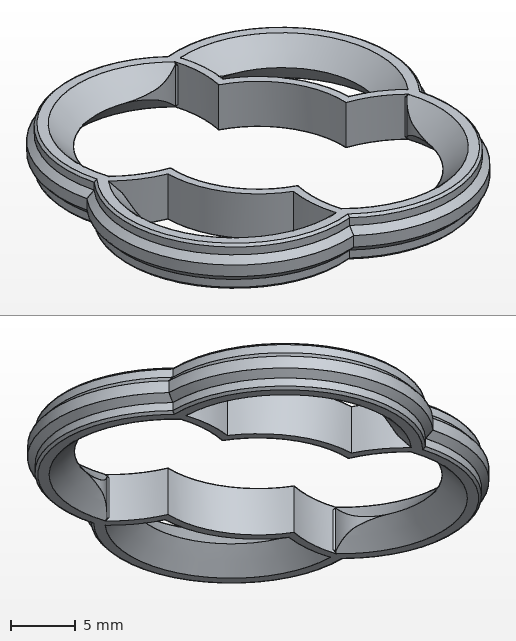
import cadquery as cq
import math

span = 36.37
height = 4.0
mid_height = height / 2

lobe_offset = 6.73
bead_radius = span / 2 - lobe_offset
bead_depth = 0.6
wall_radius = bead_radius - bead_depth
bead_half_flat = 0.5
bead_half_base = 1.1
edge_chamfer = 0.22

bore_rim_radius = 9.8
waist_radius = 7.82

flare_half_width = 2.2
flare_depth = 0.6

web_thickness = 0.75
web_middle_radius = 9.3
web_side_radius = 10.62
web_side_offset = 12.22

LOBE_CENTRES = [(lobe_offset, 0), (0, lobe_offset), (-lobe_offset, 0), (0, -lobe_offset)]


def disc(radius, x=0, y=0):
    """Full-height cylinder standing at (x, y)."""
    return cq.Workplane("XY").center(x, y).circle(radius).extrude(height)


def union_all(solids):
    """Fuse a list of solids into one."""
    fused = solids[0]
    for solid in solids[1:]:
        fused = fused.union(solid)
    return fused


def at_lobes(solid):
    """Fuse copies of a centred solid placed at all four lobes."""
    return union_all([solid.translate((x, y, 0)) for x, y in LOBE_CENTRES])


def beaded_lobe():
    """Turned disc with a raised bead round its middle and chamfered rims."""
    rim_radius = wall_radius - edge_chamfer
    profile = [
        (0, 0),
        (rim_radius, 0),
        (wall_radius, edge_chamfer),
        (wall_radius, mid_height - bead_half_base),
        (bead_radius, mid_height - bead_half_flat),
        (bead_radius, mid_height + bead_half_flat),
        (wall_radius, mid_height + bead_half_base),
        (wall_radius, height - edge_chamfer),
        (rim_radius, height),
        (0, height),
    ]
    return cq.Workplane("XZ").polyline(profile).close().revolve(360, (0, 0), (0, 1))


def flared_bore():
    """Double cone, narrowest at mid height, removed from one lobe."""
    profile = [
        (0, 0),
        (bore_rim_radius, 0),
        (waist_radius, mid_height),
        (bore_rim_radius, height),
        (0, height),
    ]
    return cq.Workplane("XZ").polyline(profile).close().revolve(360, (0, 0), (0, 1))


def waist_opening():
    """Rounded diamond joining the four waists, with a pointed flare in each flat side."""
    side = lobe_offset * math.sqrt(2)
    flat_distance = side / 2 + waist_radius
    opening = cq.Workplane("XY").rect(side, side).offset2D(waist_radius).extrude(height)

    flare_radius = (flare_half_width**2 + flare_depth**2) / (2 * flare_depth)
    tip = (flat_distance + flare_depth, 0)
    flare = (
        cq.Workplane("XY")
        .moveTo(0, flare_half_width)
        .lineTo(flat_distance, flare_half_width)
        .radiusArc(tip, -flare_radius)
        .mirrorX()
        .extrude(height)
    )
    for quarter in range(4):
        opening = opening.union(flare.rotate((0, 0, 0), (0, 0, 1), 90 * quarter))
    return opening.rotate((0, 0, 0), (0, 0, 1), 45)


def scallop(inset):
    """Area covered by the three web circles, reduced by inset."""
    return union_all([
        disc(web_middle_radius - inset),
        disc(web_side_radius - inset, web_side_offset),
        disc(web_side_radius - inset, -web_side_offset),
    ])


body = at_lobes(beaded_lobe())
bores = at_lobes(flared_bore())
webs = scallop(0).cut(scallop(web_thickness)).intersect(at_lobes(disc(wall_radius - edge_chamfer)))

result = body.cut(bores).cut(waist_opening()).union(webs)